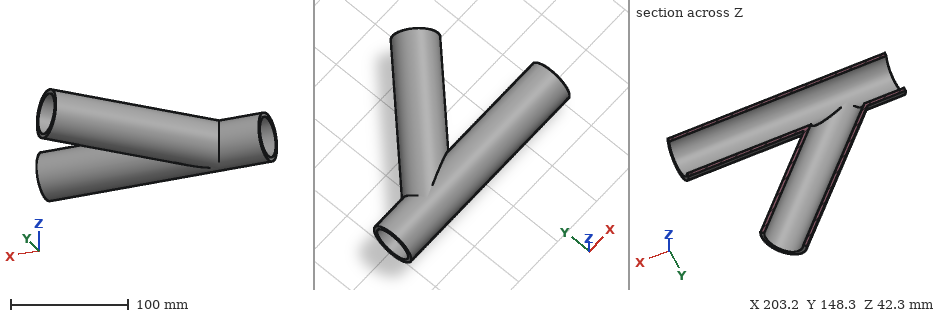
import cadquery as cq
import math

run_length = 203.2
outer_diameter = 42.3
bore_diameter = 35.0

branch_start_x = 44.7
branch_length = 158.7
branch_angle = 45.0

run_plane = cq.Plane(origin=(0, 0, 0), xDir=(0, 1, 0), normal=(1, 0, 0))
branch_direction = (
    math.cos(math.radians(branch_angle)),
    math.sin(math.radians(branch_angle)),
    0,
)
branch_plane = cq.Plane(
    origin=(branch_start_x, 0, 0), xDir=(0, 0, 1), normal=branch_direction
)


def joined_cylinders(diameter):
    """Main and branch cylinders of one diameter, fused into a Y shape."""
    run = cq.Workplane(run_plane).circle(diameter / 2).extrude(run_length)
    branch = cq.Workplane(branch_plane).circle(diameter / 2).extrude(branch_length)
    branch_side = (
        cq.Workplane("XY")
        .box(2 * run_length, run_length, run_length, centered=(True, False, True))
    )
    return run.union(branch.intersect(branch_side))


result = joined_cylinders(outer_diameter).cut(joined_cylinders(bore_diameter))